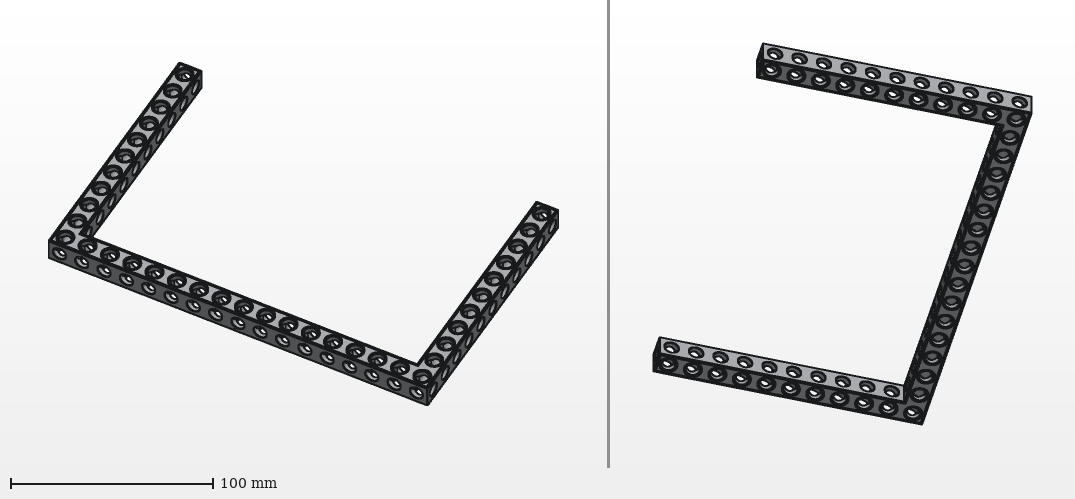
import cadquery as cq

length = 212.5
base_holes = 17
arm_holes = 11
hole_diameter = 7.0
rim_chamfer = 0.3
panel_depth = 0.2
panel_margin = 1.1
panel_island_diameter = 9.1

pitch = length / base_holes
depth = arm_holes * pitch
half_length = length / 2
opening_half_width = half_length - pitch
top_z = pitch / 2

column_x = [(i + 0.5) * pitch - half_length for i in range(base_holes)]
row_y = [(j + 0.5) * pitch for j in range(arm_holes)]
base_y = row_y[0]
arm_x = (column_x[0], column_x[-1])
vertical_places = [(x, base_y) for x in column_x]
vertical_places += [(x, y) for x in arm_x for y in row_y[1:]]


def u_plate(inset, bottom, height):
    """U-shaped plate, open toward +Y, with its whole outline moved inward by inset."""
    outer_x = half_length - inset
    inner_x = opening_half_width + inset
    opening_y = pitch - inset
    back_y = depth - inset
    outline = [
        (-outer_x, inset),
        (outer_x, inset),
        (outer_x, back_y),
        (inner_x, back_y),
        (inner_x, opening_y),
        (-inner_x, opening_y),
        (-inner_x, back_y),
        (-outer_x, back_y),
    ]
    return cq.Workplane("XY").workplane(offset=bottom).polyline(outline).close().extrude(height)


def bore(start, direction, reach):
    """Plain round cutter of the hole diameter."""
    return cq.Solid.makeCylinder(hole_diameter / 2, reach, cq.Vector(*start), cq.Vector(*direction))


def mouth(point, inward):
    """Conical cutter that chamfers the mouth of a hole."""
    hole_radius = hole_diameter / 2
    return cq.Solid.makeCone(
        hole_radius + rim_chamfer, hole_radius, rim_chamfer, cq.Vector(*point), cq.Vector(*inward)
    )


def panel(bottom):
    """Cutter for a recessed panel that leaves a round land at every vertical hole."""
    islands = [
        cq.Solid.makeCylinder(panel_island_diameter / 2, panel_depth, cq.Vector(x, y, bottom))
        for x, y in vertical_places
    ]
    return u_plate(panel_margin, bottom, panel_depth).val().cut(*islands)


cutters = []

for y in row_y:
    cutters.append(bore((-half_length, y, 0), (1, 0, 0), length))
    for side in (-1, 1):
        cutters.append(mouth((side * half_length, y, 0), (-side, 0, 0)))
        if y != base_y:
            cutters.append(mouth((side * opening_half_width, y, 0), (side, 0, 0)))

for x in column_x:
    reach = depth if x in arm_x else pitch
    cutters.append(bore((x, 0, 0), (0, 1, 0), reach))
    cutters.append(mouth((x, 0, 0), (0, 1, 0)))
    cutters.append(mouth((x, reach, 0), (0, -1, 0)))

for x, y in vertical_places:
    cutters.append(bore((x, y, -top_z), (0, 0, 1), pitch))
    for side in (-1, 1):
        cutters.append(mouth((x, y, side * top_z), (0, 0, -side)))

cutters.append(panel(top_z - panel_depth))
cutters.append(panel(-top_z))

frame = u_plate(0, -top_z, pitch).edges().chamfer(rim_chamfer)
result = cq.Workplane(frame.val().cut(*cutters)).solids()